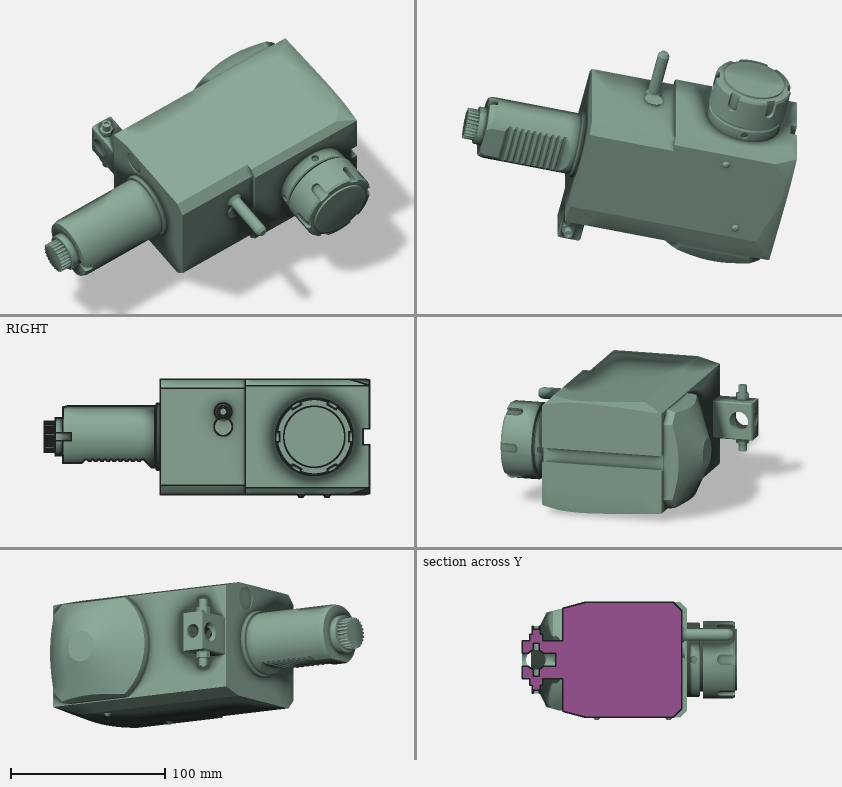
import cadquery as cq
import math


OVERALL_LENGTH = 211.0
OVERALL_HEIGHT = 76.5

BODY_LEFT = -38.6
BODY_RIGHT = 42.2
BODY_LENGTH = 135.9
BODY_HEIGHT = 75.0
HALF_HEIGHT = BODY_HEIGHT / 2
SIDE_SLOPE = math.tan(math.radians(15))
SLOPE_WIDTH = 14.8
SLOPE_DROP = SLOPE_WIDTH * SIDE_SLOPE
RIGHT_CHAMFER = 4.5
STEP_RIGHT = 39.0
STEP_LENGTH = 55.3
STEP_CHAMFER = 6.0

RELIEF_EDGE = [
    (-42.2, 116.7),
    (-23.8, 123.5),
    (-5.0, 129.0),
    (14.5, 132.7),
    (27.5, 130.6),
    (37.8, 122.4),
    (43.3, 116.0),
]
RELIEF_RUN = 17.7
RELIEF_DEPTH_FACTOR = 1.5

KEY_WIDTH = 10.1
KEY_DEPTH = 4.2

PLUG_X = -15.8
PLUG_Z = 27.9
PLUG_RADIUS = 7.5
PLUG_DEPTH = 0.6

SPINDLE_Y = 100.0
DOME_RADIUS = 40.0
DOME_BAND = 6.1
DOME_HEIGHT = 20.5
DOME_TIP_RADIUS = 10.0
DOME_REAR = 131.2
DOME_LEDGE = 2.5

COLLAR_RADIUS = 24.3
COLLAR_END = 50.6
COLLAR_CHAMFER = 0.8
NECK_RADIUS = 20.7
NECK_END = 52.5
NUT_RADIUS = 25.1
NUT_END = 73.5
NUT_CHAMFER_LENGTH = 1.5
NUT_CHAMFER_DEPTH = 0.8
LIP_RADIUS = 19.8
LIP_END = 74.7
NUT_SLOT_COUNT = 6
NUT_SLOT_WIDTH = 6.8
NUT_SLOT_START = 61.6
NUT_SLOT_DEPTH = 2.7
COLLAR_HOLE_COUNT = 4
COLLAR_HOLE_X = 46.5
COLLAR_HOLE_RADIUS = 2.5
COLLAR_HOLE_DEPTH = 2.1

PIN_Y = 41.0
PIN_Z = 16.2
PIN_RADIUS = 3.8
PIN_END = 71.5
PIN_CHAMFER = 2.1
PIN_TIP_RADIUS = 2.5
PIN_COLLAR_RADIUS = 5.5
PIN_COLLAR_LENGTH = 2.1

BUTTON_Z = 6.5
BUTTON_RADIUS = 5.0
BUTTON_FLARE_RADIUS = 6.0
BUTTON_LENGTH = 2.0

FLANGE_RADIUS = 21.7
FLANGE_LENGTH = 2.5
FLANGE_FILLET = 1.0
SHANK_RADIUS = 20.0
GROOVE_RADIUS = 19.6
GROOVE_END = 3.5
SHANK_END = 63.0
SHANK_CHAMFER_LENGTH = 3.0
SHANK_CHAMFER_DEPTH = 0.8
HUB_RADIUS = 12.2
HUB_END = 68.0
SPLINE_RADIUS = 10.1
SPLINE_ROOT_RADIUS = 8.9
SPLINE_END = OVERALL_LENGTH - BODY_LENGTH
SPLINE_COUNT = 24
SPLINE_GAP_RATIO = 0.6

RACK_FLAT_Z = -17.0
RACK_ROOT_Z = -14.8
RACK_TIP_Z = -16.0
RACK_START = 10.8
RACK_END = 48.7
TOOTH_COUNT = 9
TOOTH_FIRST = 13.7
TOOTH_PITCH = 4.0
TOOTH_ROOT_HALF = 1.5
TOOTH_TIP_HALF = 0.5

NOTCH_START = 11.8
NOTCH_WIDTH = 5.0
NOTCH_DEPTH = 5.3
NOTCH_HOLE_X = 13.7
NOTCH_HOLE_RADIUS = 1.7
NOTCH_HOLE_DEPTH = 4.2

BLOCK_LEFT = -65.0
BLOCK_FRONT = 0.8
BLOCK_BACK = 16.0
BLOCK_HEIGHT = 25.0
BLOCK_CHAMFER = 0.6
BLOCK_HOLE_X = -56.0
BLOCK_HOLE_RADIUS = 6.3
SIDE_HOLE_Y = 8.2
SIDE_HOLE_RADIUS = 4.6
SIDE_HOLE_DEPTH = 21.7
SIDE_DRILL_RADIUS = 1.5
SIDE_DRILL_DEPTH = 4.2
STUD_X = -55.7
STUD_Y = 6.1
STUD_RADIUS = 2.7
STUD_TOP = 22.0
HEX_ACROSS_CORNERS = 8.9
HEX_THICKNESS = 4.2
SOCKET_ACROSS_CORNERS = 3.8
SOCKET_DEPTH = 2.1
RISER_RADIUS = 1.7
RISER_TOP = 10.5

NOZZLE_PLACES = [(-16.5, 108.2), (30.2, 91.4)]
NOZZLE_RADIUS = 2.5
NOZZLE_TIP_RADIUS = 1.0
NOZZLE_HEIGHT = OVERALL_HEIGHT - BODY_HEIGHT

OVERLAP = 1.0
CLEAR = 21.0


def turned_about_x(profile, y, z):
    """Solid of revolution about an X-parallel axis from (x, radius) points."""
    return (
        cq.Workplane("XY")
        .polyline(profile)
        .close()
        .revolve(360, (0, 0), (1, 0))
        .translate((0, y, z))
    )


def cylinder(radius, length, base, direction):
    return cq.Workplane(obj=cq.Solid.makeCylinder(radius, length, cq.Vector(*base), cq.Vector(*direction)))


def box(x_range, y_range, z_range):
    size = [high - low for low, high in (x_range, y_range, z_range)]
    corner = (x_range[0], y_range[0], z_range[0])
    return cq.Workplane("XY").box(*size, centered=False).translate(corner)


def body_prism(right, chamfer, start, end):
    """Body cross-section with sloped left edges and chamfered right edges."""
    upper = [
        (BODY_LEFT, HALF_HEIGHT - SLOPE_DROP),
        (BODY_LEFT + SLOPE_WIDTH, HALF_HEIGHT),
        (right - chamfer, HALF_HEIGHT),
        (right, HALF_HEIGHT - chamfer),
    ]
    lower = [(x, -z) for x, z in reversed(upper)]
    return (
        cq.Workplane("XZ", origin=(0, start, 0))
        .polyline(upper + lower)
        .close()
        .extrude(start - end)
    )


def make_rear_relief():
    """Cutter whose front wall slopes back and down from the curved edge on the top face."""
    back = BODY_LENGTH + CLEAR
    outline = (
        cq.Workplane("XY", origin=(0, 0, HALF_HEIGHT))
        .moveTo(*RELIEF_EDGE[0])
        .spline(RELIEF_EDGE[1:], includeCurrent=True)
        .lineTo(RELIEF_EDGE[-1][0], back)
        .lineTo(RELIEF_EDGE[0][0], back)
        .close()
        .wire()
        .val()
    )
    slope = cq.Vector(0, RELIEF_RUN, -SLOPE_DROP) * RELIEF_DEPTH_FACTOR
    return cq.Workplane(obj=cq.Solid.extrudeLinear(outline, [], slope))


def make_body():
    body = body_prism(STEP_RIGHT, STEP_CHAMFER, 0, STEP_LENGTH)
    body = body.union(body_prism(BODY_RIGHT, RIGHT_CHAMFER, STEP_LENGTH, BODY_LENGTH))

    relief = make_rear_relief()
    body = body.cut(relief).cut(relief.mirror("XY"))

    key_slot = box(
        (BODY_LEFT - CLEAR, BODY_RIGHT + CLEAR),
        (BODY_LENGTH - KEY_DEPTH, BODY_LENGTH + CLEAR),
        (-KEY_WIDTH / 2, KEY_WIDTH / 2),
    )
    plug_recess = cylinder(PLUG_RADIUS, PLUG_DEPTH, (PLUG_X, 0, PLUG_Z), (0, 1, 0))
    return body.cut(key_slot).cut(plug_recess)


def make_dome():
    profile = [
        (BODY_LEFT + OVERLAP, 0),
        (BODY_LEFT + OVERLAP, DOME_RADIUS),
        (BODY_LEFT - DOME_BAND, DOME_RADIUS),
        (BODY_LEFT - DOME_HEIGHT, DOME_TIP_RADIUS),
        (BODY_LEFT - DOME_HEIGHT, 0),
    ]
    dome = turned_about_x(profile, SPINDLE_Y, 0)

    ledge_x = BODY_LEFT - DOME_LEDGE
    ledge_z = HALF_HEIGHT - SLOPE_DROP - DOME_LEDGE * SIDE_SLOPE
    tip_x = BODY_LEFT - DOME_HEIGHT
    tip_z = ledge_z - (ledge_x - tip_x) * SIDE_SLOPE
    upper = [(tip_x, tip_z), (ledge_x, ledge_z), (BODY_LEFT + OVERLAP, ledge_z)]
    lower = [(x, -z) for x, z in reversed(upper)]
    envelope = (
        cq.Workplane("XZ", origin=(0, DOME_REAR, 0))
        .polyline(upper + lower)
        .close()
        .extrude(DOME_REAR)
    )
    return dome.intersect(envelope)


def make_spindle():
    profile = [
        (BODY_RIGHT - OVERLAP, 0),
        (BODY_RIGHT - OVERLAP, COLLAR_RADIUS),
        (COLLAR_END - COLLAR_CHAMFER, COLLAR_RADIUS),
        (COLLAR_END, COLLAR_RADIUS - COLLAR_CHAMFER),
        (COLLAR_END, NECK_RADIUS),
        (NECK_END, NECK_RADIUS),
        (NECK_END, NUT_RADIUS),
        (NUT_END - NUT_CHAMFER_LENGTH, NUT_RADIUS),
        (NUT_END, NUT_RADIUS - NUT_CHAMFER_DEPTH),
        (NUT_END, LIP_RADIUS),
        (LIP_END, LIP_RADIUS),
        (LIP_END, 0),
    ]
    spindle = turned_about_x(profile, 0, 0)

    slot_floor = NUT_RADIUS - NUT_SLOT_DEPTH
    round_x = NUT_SLOT_START + NUT_SLOT_WIDTH / 2
    straight = box(
        (round_x, LIP_END + CLEAR),
        (-NUT_SLOT_WIDTH / 2, NUT_SLOT_WIDTH / 2),
        (slot_floor, slot_floor + CLEAR),
    )
    slot = straight.union(cylinder(NUT_SLOT_WIDTH / 2, CLEAR, (round_x, 0, slot_floor), (0, 0, 1)))
    for i in range(NUT_SLOT_COUNT):
        angle = 360 / NUT_SLOT_COUNT * (i + 0.5)
        spindle = spindle.cut(slot.rotate((0, 0, 0), (1, 0, 0), angle))

    hole_floor = COLLAR_RADIUS - COLLAR_HOLE_DEPTH
    hole = cylinder(COLLAR_HOLE_RADIUS, CLEAR, (COLLAR_HOLE_X, 0, hole_floor), (0, 0, 1))
    for i in range(COLLAR_HOLE_COUNT):
        angle = 360 / COLLAR_HOLE_COUNT * i
        spindle = spindle.cut(hole.rotate((0, 0, 0), (1, 0, 0), angle))
    return spindle.translate((0, SPINDLE_Y, 0))


def make_pin():
    collar_end = STEP_RIGHT + PIN_COLLAR_LENGTH
    profile = [
        (STEP_RIGHT - OVERLAP, 0),
        (STEP_RIGHT - OVERLAP, PIN_COLLAR_RADIUS),
        (STEP_RIGHT, PIN_COLLAR_RADIUS),
        (collar_end, PIN_RADIUS),
        (PIN_END - PIN_CHAMFER, PIN_RADIUS),
        (PIN_END, PIN_TIP_RADIUS),
        (PIN_END, 0),
    ]
    return turned_about_x(profile, PIN_Y, PIN_Z)


def make_button():
    rim_x = STEP_RIGHT + BUTTON_LENGTH
    profile = [
        (STEP_RIGHT - OVERLAP, 0),
        (STEP_RIGHT - OVERLAP, BUTTON_RADIUS),
        (STEP_RIGHT + BUTTON_LENGTH / 2, BUTTON_RADIUS),
        (rim_x, BUTTON_FLARE_RADIUS),
        (rim_x, 0),
    ]
    return turned_about_x(profile, PIN_Y, BUTTON_Z)


def make_rack_cutter():
    """Material removed under the shank: a ramped recess with teeth left standing."""
    floor = RACK_ROOT_Z - CLEAR
    flat_start = RACK_END + RACK_ROOT_Z - RACK_FLAT_Z
    points = [(-RACK_START + CLEAR, floor), (-RACK_START, RACK_ROOT_Z)]
    for i in range(TOOTH_COUNT):
        y = -TOOTH_FIRST - i * TOOTH_PITCH
        points += [
            (y + TOOTH_ROOT_HALF, RACK_ROOT_Z),
            (y + TOOTH_TIP_HALF, RACK_TIP_Z),
            (y - TOOTH_TIP_HALF, RACK_TIP_Z),
            (y - TOOTH_ROOT_HALF, RACK_ROOT_Z),
        ]
    points += [
        (-RACK_END, RACK_ROOT_Z),
        (-flat_start, RACK_FLAT_Z),
        (-SHANK_END - OVERLAP, RACK_FLAT_Z),
        (-SHANK_END - OVERLAP, floor),
    ]
    return cq.Workplane("YZ").polyline(points).close().extrude(SHANK_RADIUS, both=True)


def make_spline():
    """Splined stub with straight-sided teeth along Y."""
    pitch = 2 * math.pi / SPLINE_COUNT
    half_root_gap = pitch * SPLINE_GAP_RATIO / 4
    half_tip_gap = pitch * SPLINE_GAP_RATIO / 2
    points = []
    for i in range(SPLINE_COUNT):
        middle = i * pitch
        for radius, angle in (
            (SPLINE_RADIUS, middle - half_tip_gap),
            (SPLINE_ROOT_RADIUS, middle - half_root_gap),
            (SPLINE_ROOT_RADIUS, middle + half_root_gap),
            (SPLINE_RADIUS, middle + half_tip_gap),
        ):
            points.append((radius * math.cos(angle), radius * math.sin(angle)))
    start = -HUB_END + OVERLAP
    return (
        cq.Workplane("XZ", origin=(0, start, 0))
        .polyline(points)
        .close()
        .extrude(SPLINE_END + start)
    )


def make_shank():
    profile = [
        (0, OVERLAP),
        (GROOVE_RADIUS, OVERLAP),
        (GROOVE_RADIUS, -GROOVE_END),
        (SHANK_RADIUS, -GROOVE_END),
        (SHANK_RADIUS, -SHANK_END + SHANK_CHAMFER_LENGTH),
        (SHANK_RADIUS - SHANK_CHAMFER_DEPTH, -SHANK_END),
        (HUB_RADIUS, -SHANK_END),
        (HUB_RADIUS, -HUB_END),
        (0, -HUB_END),
    ]
    shank = cq.Workplane("XY").polyline(profile).close().revolve(360, (0, 0), (0, 1))
    shank = shank.cut(make_rack_cutter())

    notch_floor = -SHANK_END + NOTCH_DEPTH
    notch = box(
        (NOTCH_START, SHANK_RADIUS + CLEAR),
        (-HUB_END, notch_floor),
        (-NOTCH_WIDTH / 2, NOTCH_WIDTH / 2),
    )
    notch_hole = cylinder(NOTCH_HOLE_RADIUS, NOTCH_HOLE_DEPTH, (NOTCH_HOLE_X, notch_floor, 0), (0, 1, 0))
    shank = shank.cut(notch).cut(notch_hole)

    flange = cylinder(FLANGE_RADIUS, FLANGE_LENGTH, (0, 0, 0), (0, -1, 0))
    flange = flange.faces("<Y").edges().fillet(FLANGE_FILLET)
    return shank.union(flange).union(make_spline())


def make_stud():
    """Hexagon with a round stud standing on the top of the coolant block."""
    block_top = BLOCK_HEIGHT / 2
    hexagon = (
        cq.Workplane("XY", origin=(STUD_X, STUD_Y, block_top - OVERLAP))
        .polygon(6, HEX_ACROSS_CORNERS)
        .extrude(HEX_THICKNESS + OVERLAP)
    )
    stud = cylinder(STUD_RADIUS, STUD_TOP - block_top, (STUD_X, STUD_Y, block_top), (0, 0, 1))
    socket = (
        cq.Workplane("XY", origin=(STUD_X, STUD_Y, STUD_TOP - SOCKET_DEPTH))
        .polygon(6, SOCKET_ACROSS_CORNERS)
        .extrude(SOCKET_DEPTH)
    )
    return hexagon.union(stud).cut(socket)


def make_block():
    block = box(
        (BLOCK_LEFT, BODY_LEFT + OVERLAP),
        (BLOCK_FRONT, BLOCK_BACK),
        (-BLOCK_HEIGHT / 2, BLOCK_HEIGHT / 2),
    )
    block = block.faces("<Y or >Y").edges("not >X").chamfer(BLOCK_CHAMFER)
    stud = make_stud()
    block = block.union(stud).union(stud.mirror("XY"))

    cross_hole = cylinder(BLOCK_HOLE_RADIUS, BLOCK_BACK, (BLOCK_HOLE_X, 0, 0), (0, 1, 0))
    side_hole = cylinder(SIDE_HOLE_RADIUS, SIDE_HOLE_DEPTH, (BLOCK_LEFT, SIDE_HOLE_Y, 0), (1, 0, 0))
    drill_length = SIDE_HOLE_DEPTH + SIDE_DRILL_DEPTH
    side_drill = cylinder(SIDE_DRILL_RADIUS, drill_length, (BLOCK_LEFT, SIDE_HOLE_Y, 0), (1, 0, 0))
    riser = cylinder(RISER_RADIUS, 2 * RISER_TOP, (STUD_X, STUD_Y, -RISER_TOP), (0, 0, 1))
    return block.cut(cross_hole).cut(side_hole).cut(side_drill).cut(riser)


def make_nozzle(x, y):
    cone = cq.Solid.makeCone(
        NOZZLE_RADIUS,
        NOZZLE_TIP_RADIUS,
        NOZZLE_HEIGHT,
        cq.Vector(x, y, -HALF_HEIGHT),
        cq.Vector(0, 0, -1),
    )
    return cq.Workplane(obj=cone)


result = make_body()
for piece in (make_dome(), make_spindle(), make_pin(), make_button(), make_shank(), make_block()):
    result = result.union(piece)
for nozzle_x, nozzle_y in NOZZLE_PLACES:
    result = result.union(make_nozzle(nozzle_x, nozzle_y))